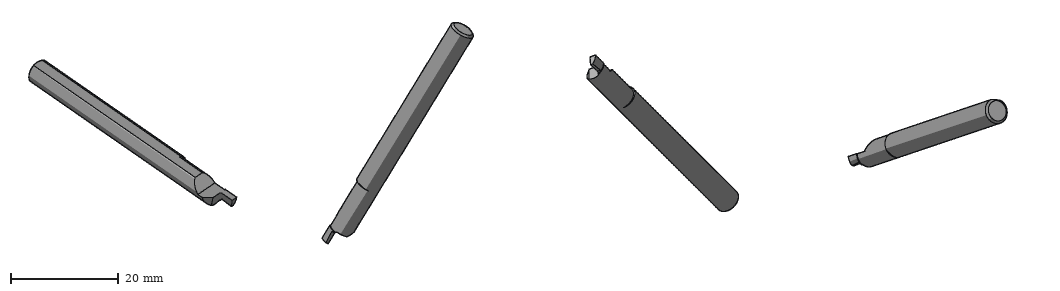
import cadquery as cq
import math

length = 50.8
radius = 2.4
flat_height = 2.15
rear_chamfer_length = 0.35
rear_chamfer_depth = 0.45

neck_start = 37.1
neck_shift = 0.3

ramp_start = 43.15
ramp_end = 45.15
head_end = 47.75
nose_chamfer = 1.35
relief_angle = 6.0

tip_inner_y = 1.0
tip_shift = 0.15
tip_root_depth = 1.6
tip_end_depth = 1.75
root_fillet = 0.3

relief_run = radius * math.tan(math.radians(relief_angle))


def bar(start, end, y_center):
    """Round bar along X between two stations."""
    return cq.Workplane("YZ", origin=(start, y_center, 0)).circle(radius).extrude(end - start)


def make_envelope():
    """Bar with a bevelled rear end, which bounds the shank, head and tip."""
    rear_radius = radius - rear_chamfer_depth
    return (
        cq.Workplane("XY")
        .moveTo(0, 0)
        .lineTo(0, rear_radius)
        .lineTo(rear_chamfer_length, radius)
        .lineTo(length, radius)
        .lineTo(length, 0)
        .close()
        .revolve(360, (0, 0, 0), (1, 0, 0))
    )


def make_side_profile(end):
    """Side outline with the flat, ramp, rake face and relieved end."""
    return (
        cq.Workplane("XZ")
        .polyline([
            (0, -radius),
            (0, flat_height),
            (ramp_start, flat_height),
            (ramp_end, 0),
            (end, 0),
            (end - relief_run, -radius),
        ])
        .close()
        .extrude(radius, both=True)
    )


def make_body():
    """Shank, relieved neck and head with its bevelled nose."""
    clearance = bar(0, neck_start, 0).union(bar(neck_start, head_end, -neck_shift))
    nose_cut = (
        cq.Workplane("XY")
        .polyline([
            (head_end - nose_chamfer, -radius),
            (head_end, -radius + nose_chamfer),
            (head_end, -radius),
        ])
        .close()
        .extrude(radius, both=True)
    )
    return make_envelope().intersect(clearance).intersect(make_side_profile(head_end)).cut(nose_cut)


def make_tip():
    """Finger with a curved outer side and a filleted inner root."""
    root_x = head_end - relief_run
    fillet_end = head_end + root_fillet
    root_inner_y = tip_inner_y - 2 * root_fillet
    root = (
        cq.Workplane("XY")
        .box(length, radius - root_inner_y, radius, centered=False)
        .translate((0, root_inner_y, -radius))
        .intersect(make_side_profile(head_end))
    )
    finger = (
        cq.Workplane("XY")
        .box(length, radius - tip_inner_y, radius, centered=False)
        .translate((0, tip_inner_y, -radius))
        .intersect(make_side_profile(length))
    )
    corner_edge = cq.selectors.NearestToPointSelector((head_end - relief_run / 2, tip_inner_y, -radius / 2))
    filleted = root.union(finger).edges(corner_edge).fillet(root_fillet)
    underside = (
        cq.Workplane("XZ")
        .polyline([
            (root_x, 0),
            (length, 0),
            (length, -tip_end_depth),
            (fillet_end, -tip_root_depth),
            (root_x, -radius),
        ])
        .close()
        .extrude(radius, both=True)
    )
    return (
        filleted.intersect(underside)
        .intersect(bar(root_x, length, -tip_shift))
        .intersect(make_envelope())
        .cut(bar(root_x, head_end, 0).cut(bar(root_x, head_end, -neck_shift)))
    )


result = make_body().union(make_tip())